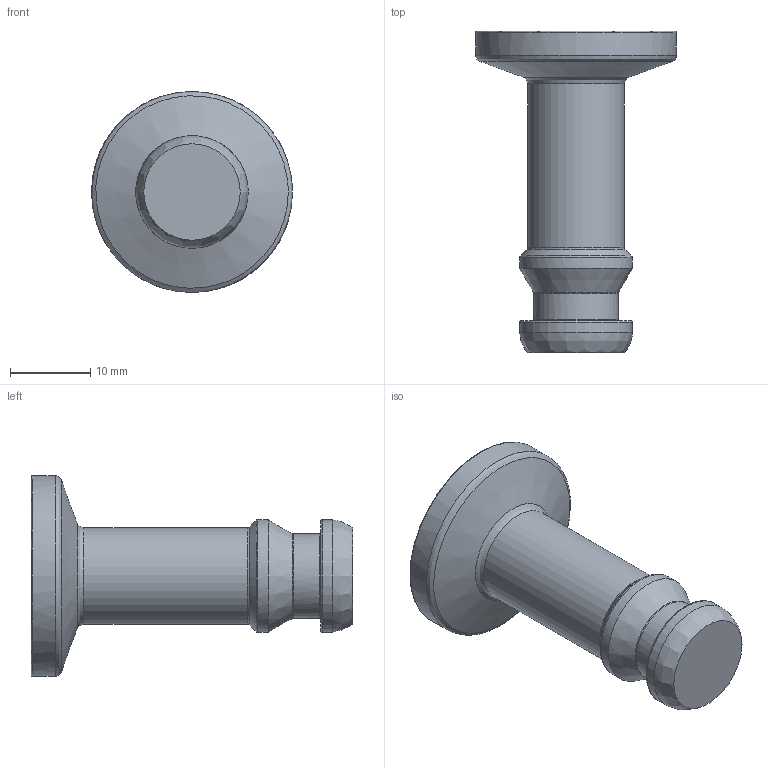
import cadquery as cq
import math

total_length = 40.0

flange_radius = 25.0 / 2
flange_rim_length = 3.55
flange_cone_angle = 20.0
flange_back_fillet = 0.15
flange_rim_fillet = 0.8

shaft_radius = 12.0 / 2
shaft_root_fillet = 0.9

collar_radius = 14.0 / 2
collar_back_from_tip = 11.95
collar_front_from_tip = 10.5
collar_edge_fillet = 0.3
collar_root_fillet = 0.3
groove_radius = 10.5 / 2
groove_cone_angle = 30.0
groove_cone_fillet = 0.3
groove_head_fillet = 0.1
head_length = 4.0
head_edge_fillet = 0.25
head_crown_length = 2.5
tip_radius = shaft_radius

flange_cone_length = (flange_radius - shaft_radius) * math.tan(math.radians(flange_cone_angle))
flange_end = flange_rim_length + flange_cone_length
collar_chamfer = collar_radius - shaft_radius
collar_back = total_length - collar_back_from_tip
collar_root = collar_back - collar_chamfer
collar_front = total_length - collar_front_from_tip
groove_cone_length = (collar_radius - groove_radius) / math.tan(math.radians(groove_cone_angle))
groove_start = collar_front + groove_cone_length
head_start = total_length - head_length
crown_start = total_length - head_crown_length


def make_turned_body():
    """Revolve the sharp-cornered half section; the crown is an arc tangent to the head."""
    section = (
        cq.Workplane("XY")
        .moveTo(0, 0)
        .lineTo(flange_radius, 0)
        .lineTo(flange_radius, -flange_rim_length)
        .lineTo(shaft_radius, -flange_end)
        .lineTo(shaft_radius, -collar_root)
        .lineTo(collar_radius, -collar_back)
        .lineTo(collar_radius, -collar_front)
        .lineTo(groove_radius, -groove_start)
        .lineTo(groove_radius, -head_start)
        .lineTo(collar_radius, -head_start)
        .lineTo(collar_radius, -crown_start)
        .tangentArcPoint((tip_radius, -total_length), relative=False)
        .lineTo(0, -total_length)
        .close()
    )
    return section.revolve(360, (0, 0, 0), (0, 1, 0))


def fillet_ring(body, ring_radius, distance, fillet_radius):
    """Round the circular edge of the given radius at a distance from the flange back face."""
    tolerance = 0.001

    def is_ring(edge):
        if edge.geomType() != "CIRCLE":
            return False
        same_place = abs(edge.arcCenter().y + distance) < tolerance
        return same_place and abs(edge.radius() - ring_radius) < tolerance

    return body.edges().filter(is_ring).fillet(fillet_radius)


rounded_rings = [
    (flange_radius, 0.0, flange_back_fillet),
    (flange_radius, flange_rim_length, flange_rim_fillet),
    (shaft_radius, flange_end, shaft_root_fillet),
    (shaft_radius, collar_root, collar_root_fillet),
    (collar_radius, collar_back, collar_edge_fillet),
    (groove_radius, groove_start, groove_cone_fillet),
    (groove_radius, head_start, groove_head_fillet),
    (collar_radius, head_start, head_edge_fillet),
]

result = make_turned_body()
for ring_radius, distance, fillet_radius in rounded_rings:
    result = fillet_ring(result, ring_radius, distance, fillet_radius)